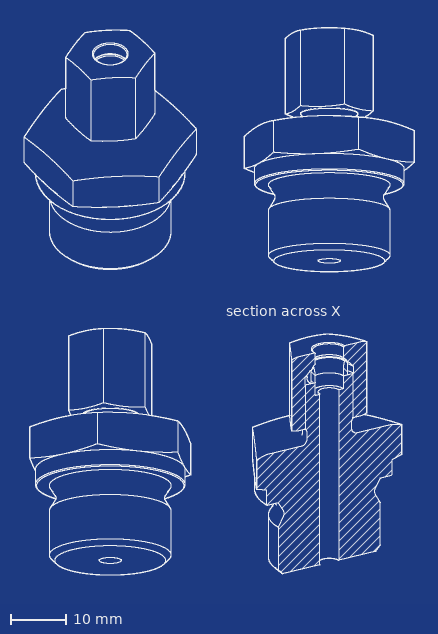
import cadquery as cq
import math

tube_bore_radius = 6.0 / 2
flow_bore_radius = 4.0 / 2
thread_radius = 10.38 / 2
total_height = 41.5

stud_radius = 22.0 / 2
stud_chamfer = 1.0
groove_root_radius = 9.95
groove_waist_radius = 9.8
groove_bottom = 9.3
groove_root_bottom = 11.05
groove_root_top = 12.35
flange_radius = 27.0 / 2
flange_bottom = 14.0
flange_chamfer = 0.2
hex_bottom = 17.0
hex_top = 24.0
hex_flats = 27.0
neck_radius = 9.7 / 2
neck_foot_fillet = 1.08
neck_top = 26.3
runout_fillet = 1.0
runout_angle = 30.0
spigot_top = 35.7
seat_height = 33.2

nut_bottom = 27.0
nut_flats = 14.0
nut_mouth_radius = 6.47 / 2
nut_mouth_depth = 0.15
nut_bore_bottom = 39.2

ring_top = 38.55
ring_outer_radius = 8.0 / 2
ring_mouth_radius = 3.25
ring_mouth_bottom = 37.47

hex_corner_angle = math.pi / 6
hex_chamfer_angle = 15.0


def revolve_profile(profile):
    """Turn a profile of (radius, height) points about the Z axis."""
    return profile.close().revolve(360, (0, 0, 0), (0, 1, 0))


def chamfered_hexagon(flats, bottom, top, angle):
    """Hexagonal prism with corners on Y, its ends turned down to the flats circle."""
    flat_radius = flats / 2
    corner_radius = flat_radius / math.cos(hex_corner_angle)
    corner_drop = (corner_radius - flat_radius) * math.tan(math.radians(angle))
    prism = (
        cq.Workplane("XY").workplane(offset=bottom)
        .polygon(6, 2 * corner_radius).extrude(top - bottom)
        .rotate((0, 0, 0), (0, 0, 1), math.degrees(hex_corner_angle))
    )
    turned_blank = revolve_profile(
        cq.Workplane("XZ").moveTo(0, bottom)
        .lineTo(flat_radius, bottom)
        .lineTo(corner_radius, bottom + corner_drop)
        .lineTo(corner_radius, top - corner_drop)
        .lineTo(flat_radius, top)
        .lineTo(0, top)
    )
    return prism.intersect(turned_blank)


def make_fitting_body():
    """Turned stud, flange and spigot joined with the large hexagon, then bored through."""
    groove_middle = (groove_root_bottom + groove_root_top) / 2
    neck_foot_radius = neck_radius + neck_foot_fillet
    fillet_mid = neck_foot_fillet * (1 - math.sqrt(0.5))
    runout = math.radians(runout_angle)
    runout_mid = neck_radius + runout_fillet * (1 - math.cos(runout / 2))
    runout_radius = neck_radius + runout_fillet * (1 - math.cos(runout))
    runout_top = neck_top + runout_fillet * math.sin(runout)
    thread_bottom = runout_top + (thread_radius - runout_radius) / math.tan(runout)
    turned = revolve_profile(
        cq.Workplane("XZ").moveTo(0, 0)
        .lineTo(stud_radius - stud_chamfer, 0)
        .lineTo(stud_radius, stud_chamfer)
        .lineTo(stud_radius, groove_bottom)
        .lineTo(groove_root_radius, groove_root_bottom)
        .threePointArc((groove_waist_radius, groove_middle), (groove_root_radius, groove_root_top))
        .lineTo(stud_radius, flange_bottom)
        .lineTo(flange_radius - flange_chamfer, flange_bottom)
        .lineTo(flange_radius, flange_bottom + flange_chamfer)
        .lineTo(flange_radius, hex_bottom)
        .lineTo(neck_foot_radius, hex_bottom)
        .lineTo(neck_foot_radius, hex_top)
        .threePointArc(
            (neck_radius + fillet_mid, hex_top + fillet_mid),
            (neck_radius, hex_top + neck_foot_fillet),
        )
        .lineTo(neck_radius, neck_top)
        .threePointArc(
            (runout_mid, neck_top + runout_fillet * math.sin(runout / 2)),
            (runout_radius, runout_top),
        )
        .lineTo(thread_radius, thread_bottom)
        .lineTo(thread_radius, spigot_top)
        .lineTo(0, spigot_top)
    )
    hexagon = chamfered_hexagon(hex_flats, hex_bottom, hex_top, hex_chamfer_angle)
    flow_bore = cq.Workplane("XY").circle(flow_bore_radius).extrude(spigot_top)
    tube_socket = (
        cq.Workplane("XY").workplane(offset=seat_height)
        .circle(tube_bore_radius).extrude(spigot_top - seat_height)
    )
    return turned.union(hexagon).cut(flow_bore).cut(tube_socket)


def nut_cone_height(radius):
    """Height of the nut's 45 degree clamping cone at a given radius."""
    return nut_bore_bottom - (radius - tube_bore_radius)


def make_clamping_ring():
    """Ring standing on the spigot, clamped by the nut cone and flared open at the top."""
    ring_top_radius = tube_bore_radius + nut_bore_bottom - ring_top
    return revolve_profile(
        cq.Workplane("XZ").moveTo(tube_bore_radius, spigot_top)
        .lineTo(ring_outer_radius, spigot_top)
        .lineTo(ring_outer_radius, nut_cone_height(ring_outer_radius))
        .lineTo(ring_top_radius, ring_top)
        .lineTo(ring_mouth_radius, ring_top)
        .lineTo(tube_bore_radius, ring_mouth_bottom)
    )


def make_union_nut():
    """Small hexagon with a threaded cavity, clamping cone and chamfered tube hole."""
    hexagon = chamfered_hexagon(nut_flats, nut_bottom, total_height, hex_chamfer_angle)
    cavity = revolve_profile(
        cq.Workplane("XZ").moveTo(0, nut_bottom)
        .lineTo(thread_radius, nut_bottom)
        .lineTo(thread_radius, nut_cone_height(thread_radius))
        .lineTo(tube_bore_radius, nut_bore_bottom)
        .lineTo(tube_bore_radius, total_height - nut_mouth_depth)
        .lineTo(nut_mouth_radius, total_height)
        .lineTo(0, total_height)
    )
    return hexagon.cut(cavity)


fitting_body = make_fitting_body().solids()
clamping_ring = make_clamping_ring().solids()
union_nut = make_union_nut().solids()

result = cq.Compound.makeCompound([fitting_body.val(), clamping_ring.val(), union_nut.val()])